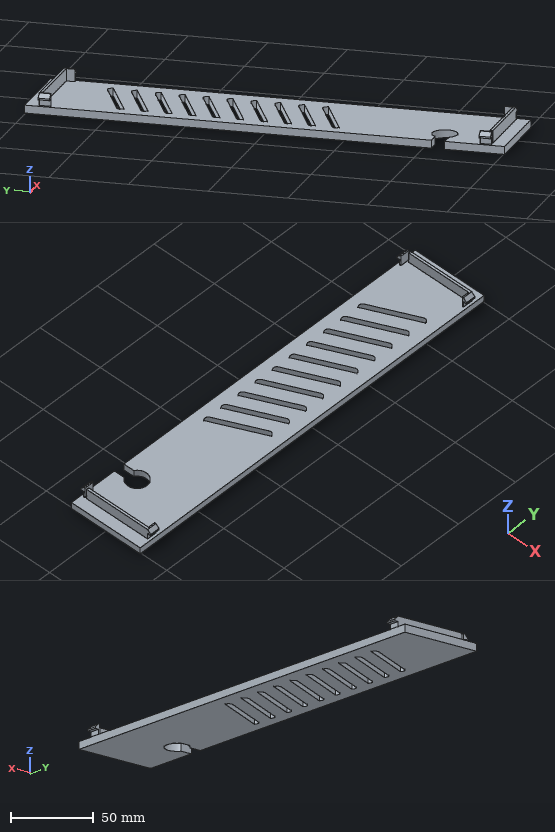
import cadquery as cq

PLATE_WIDTH = 57.3
PLATE_LENGTH = 301.5
PLATE_THICKNESS = 5.0
PLATE_END_EDGE = PLATE_LENGTH / 2
PLATE_SIDE_EDGE = PLATE_WIDTH / 2

OVERALL_HEIGHT = 13.0
UPRIGHT_HEIGHT = OVERALL_HEIGHT - PLATE_THICKNESS
UPRIGHT_END_GAP = 8.7
UPRIGHT_END_Y = PLATE_END_EDGE - UPRIGHT_END_GAP

RIB_THICKNESS = 1.8
RIB_LEFT_GAP = 4.5

CLIP_LENGTH = 7.2
CLIP_THICKNESS = 1.0
CLIP_OUTER_X = 26.5
CLIP_INNER_X = CLIP_OUTER_X - CLIP_THICKNESS
HOOK_OVERHANG = 0.45
HOOK_TIP_X = PLATE_SIDE_EDGE + HOOK_OVERHANG
HOOK_HEIGHT = 3.5
HOOK_TIP_HEIGHT = HOOK_HEIGHT - (HOOK_TIP_X - CLIP_OUTER_X)
HOOK_TIP_Z = OVERALL_HEIGHT - HOOK_HEIGHT

KEYHOLE_RADIUS = 7.8
KEYHOLE_EDGE_DISTANCE = 15.0
KEYHOLE_X = KEYHOLE_EDGE_DISTANCE - PLATE_SIDE_EDGE
KEYHOLE_Y = -108.8
KEYHOLE_NECK_WIDTH = 8.0

SLOT_COUNT = 10
SLOT_ROW_LENGTH = 135.0
SLOT_PITCH = SLOT_ROW_LENGTH / (SLOT_COUNT - 1)
SLOT_LENGTH = 43.0
SLOT_WIDTH = 4.0
SLOT_CORNER_RADIUS = 2.7
SLOT_ANGLE = 25.0
SLOT_X = -1.0
FIRST_SLOT_Y = -33.5


def make_plate():
    return cq.Workplane("XY").box(PLATE_WIDTH, PLATE_LENGTH, PLATE_THICKNESS, centered=(True, True, False))


def make_keyhole():
    eye = cq.Workplane("XY").center(KEYHOLE_X, KEYHOLE_Y).circle(KEYHOLE_RADIUS).extrude(PLATE_THICKNESS)
    neck = (
        cq.Workplane("XY")
        .center(KEYHOLE_X - KEYHOLE_EDGE_DISTANCE / 2, KEYHOLE_Y)
        .rect(KEYHOLE_EDGE_DISTANCE, KEYHOLE_NECK_WIDTH)
        .extrude(PLATE_THICKNESS)
    )
    return eye.union(neck)


def make_vent_slots():
    """Slanted slots with square lower corners and rounded upper corners."""
    slot = (
        cq.Workplane("XY")
        .box(SLOT_LENGTH, SLOT_WIDTH, PLATE_THICKNESS, centered=(True, True, False))
        .edges("|Z and >Y")
        .fillet(SLOT_CORNER_RADIUS)
        .rotate((0, 0, 0), (0, 0, 1), SLOT_ANGLE)
    )
    slots = cq.Workplane("XY")
    for i in range(SLOT_COUNT):
        slots = slots.add(slot.translate((SLOT_X, FIRST_SLOT_Y + i * SLOT_PITCH, 0)))
    return slots.combine()


def make_rib():
    """Cross rib at the +Y end."""
    left_x = RIB_LEFT_GAP - PLATE_SIDE_EDGE
    return (
        cq.Workplane("XY")
        .box(CLIP_INNER_X - left_x, RIB_THICKNESS, UPRIGHT_HEIGHT, centered=False)
        .translate((left_x, UPRIGHT_END_Y - RIB_THICKNESS, PLATE_THICKNESS))
    )


def make_clip():
    """Clip at the +X side of the +Y end."""
    profile = [
        (CLIP_INNER_X, PLATE_THICKNESS),
        (CLIP_OUTER_X, PLATE_THICKNESS),
        (CLIP_OUTER_X, HOOK_TIP_Z),
        (HOOK_TIP_X, HOOK_TIP_Z),
        (HOOK_TIP_X, HOOK_TIP_Z + HOOK_TIP_HEIGHT),
        (CLIP_OUTER_X, OVERALL_HEIGHT),
        (CLIP_INNER_X, OVERALL_HEIGHT),
    ]
    return cq.Workplane("XZ", origin=(0, UPRIGHT_END_Y, 0)).polyline(profile).close().extrude(CLIP_LENGTH)


right_clip = make_clip()
end_fittings = make_rib().union(right_clip).union(right_clip.mirror("YZ"))

result = (
    make_plate()
    .cut(make_keyhole())
    .cut(make_vent_slots())
    .union(end_fittings)
    .union(end_fittings.mirror("XZ"))
)